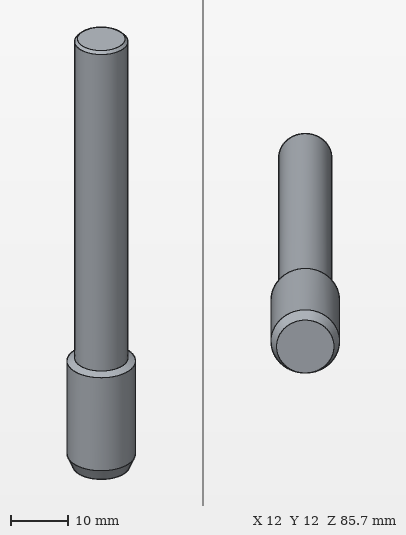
import cadquery as cq

total_length = 85.7
head_diameter = 12.0
head_length = 21.6
head_top_bevel_height = 0.6
head_tip_bevel_height = 2.3
head_tip_diameter = 10.0
shank_diameter = 9.3
shank_chamfer = 0.5

head_radius = head_diameter / 2
head_tip_radius = head_tip_diameter / 2
shank_radius = shank_diameter / 2
shank_length = total_length - head_length


def make_head():
    """Round head with a tapered tip and a shallow cone rising to the shank."""
    return (
        cq.Workplane("XZ")
        .lineTo(head_tip_radius, 0)
        .lineTo(head_radius, head_tip_bevel_height)
        .lineTo(head_radius, head_length - head_top_bevel_height)
        .lineTo(shank_radius, head_length)
        .lineTo(0, head_length)
        .close()
        .revolve(360, (0, 0, 0), (0, 1, 0))
    )


def make_shank():
    """Cylindrical shank standing on the head, chamfered at its free end."""
    return (
        cq.Workplane("XY", origin=(0, 0, head_length))
        .circle(shank_radius)
        .extrude(shank_length)
        .faces(">Z")
        .chamfer(shank_chamfer)
    )


head = make_head()
shank = make_shank()

result = cq.Compound.makeCompound([head.val(), shank.val()])